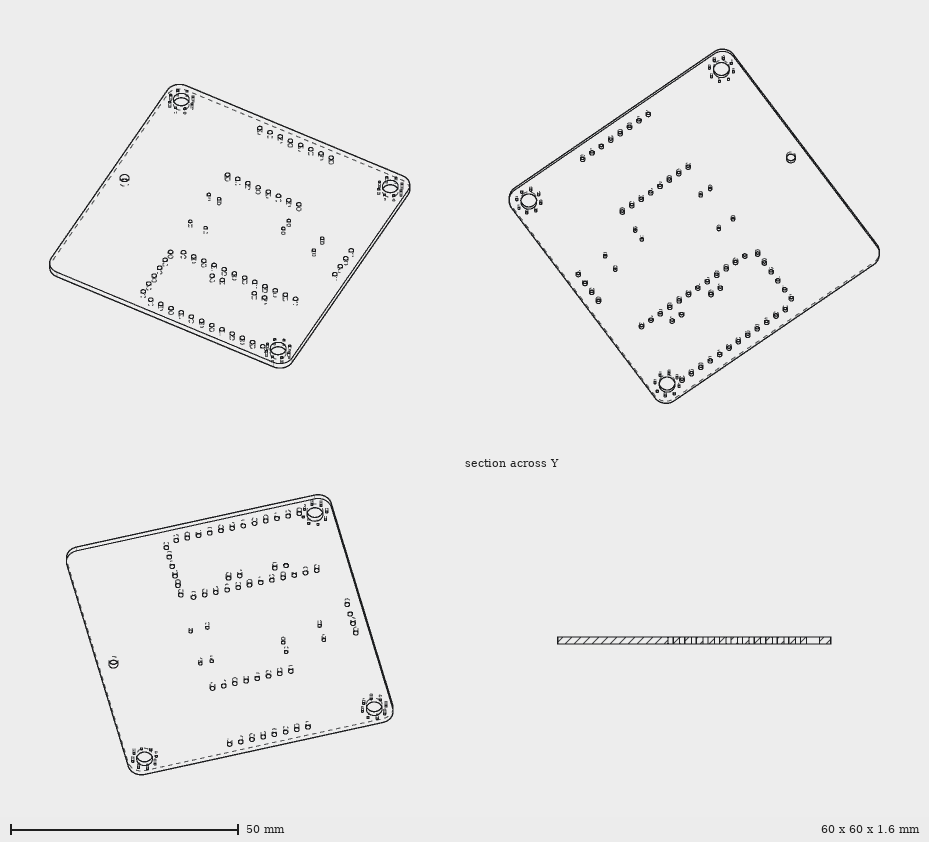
import cadquery as cq

board_side = 60.0
board_thickness = 1.6
corner_radius = 3.0

mount_diameter = 3.5
mount_offset = 26.05
via_diameter = 0.5
via_ring_diameter = 5.35
vias_per_ring = 8

locating_diameter = 2.0
locating_center = (-26.5, 0.55)

edge_header_pins = 4
edge_header_span = 7.6
pin_pitch = edge_header_span / (edge_header_pins - 1)
pin_diameter = 1.0
edge_header_x = 27.05
edge_header_top_y = 6.0

socket_pins = 8
socket_start_x = -7.0
socket_top_y = 27.05
socket_row_spacing = 15.0

module_pins = 12
module_start_x = -5.15
module_top_y = -11.9
module_width_in_pitches = 6
module_row_spacing = module_width_in_pitches * pin_pitch
module_bottom_y = module_top_y - module_row_spacing
module_end_pins = 6
module_end_x = module_start_x - pin_pitch
module_end_span = (module_end_pins - 1) * pin_pitch
module_end_top_y = (module_top_y + module_bottom_y + module_end_span) / 2

jumper_y = -14.75
jumper_start_xs = (3.55, 14.05)
jumper_pins = 2

lead_diameter = 0.8
leads_per_part = 2
narrow_lead_pitch = pin_pitch
wide_lead_pitch = 1.5 * pin_pitch
left_leads_x = -8.0
narrow_left_leads_y = 5.15
wide_left_leads_y = -3.5
narrow_upright_leads_start = (11.0, 6.95)
wide_upright_leads_start = (19.8, 6.0)


def row(start_x, y, count, pitch):
    """Points running in +X from the start."""
    return [(start_x + i * pitch, y) for i in range(count)]


def column(x, top_y, count, pitch):
    """Points running in -Y from the top."""
    return [(x, top_y - i * pitch) for i in range(count)]


def drill(body, points, diameter):
    """Through holes at the given points of the top face."""
    top = body.faces(">Z").workplane(origin=(0, 0, 0))
    return top.pushPoints(points).hole(diameter)


def drill_via_ring(body, center):
    """Ring of vias around a mounting hole."""
    top = body.faces(">Z").workplane(origin=(0, 0, 0)).center(*center)
    return top.polarArray(via_ring_diameter / 2, 0, 360, vias_per_ring).hole(via_diameter)


board = cq.Workplane("XY").box(board_side, board_side, board_thickness)
board = board.edges("|Z").fillet(corner_radius)

mount_centers = [
    (-mount_offset, mount_offset),
    (mount_offset, mount_offset),
    (mount_offset, -mount_offset),
]
board = drill(board, mount_centers, mount_diameter)
for mount_center in mount_centers:
    board = drill_via_ring(board, mount_center)
board = drill(board, [locating_center], locating_diameter)

pin_points = column(edge_header_x, edge_header_top_y, edge_header_pins, pin_pitch)
for socket_y in (socket_top_y, socket_top_y - socket_row_spacing):
    pin_points += row(socket_start_x, socket_y, socket_pins, pin_pitch)
for module_y in (module_top_y, module_bottom_y):
    pin_points += row(module_start_x, module_y, module_pins, pin_pitch)
pin_points += column(module_end_x, module_end_top_y, module_end_pins, pin_pitch)
for jumper_start_x in jumper_start_xs:
    pin_points += row(jumper_start_x, jumper_y, jumper_pins, pin_pitch)
board = drill(board, pin_points, pin_diameter)

lead_points = row(left_leads_x, narrow_left_leads_y, leads_per_part, narrow_lead_pitch)
lead_points += row(left_leads_x, wide_left_leads_y, leads_per_part, wide_lead_pitch)
lead_points += column(*narrow_upright_leads_start, leads_per_part, narrow_lead_pitch)
lead_points += column(*wide_upright_leads_start, leads_per_part, wide_lead_pitch)
board = drill(board, lead_points, lead_diameter)

result = board